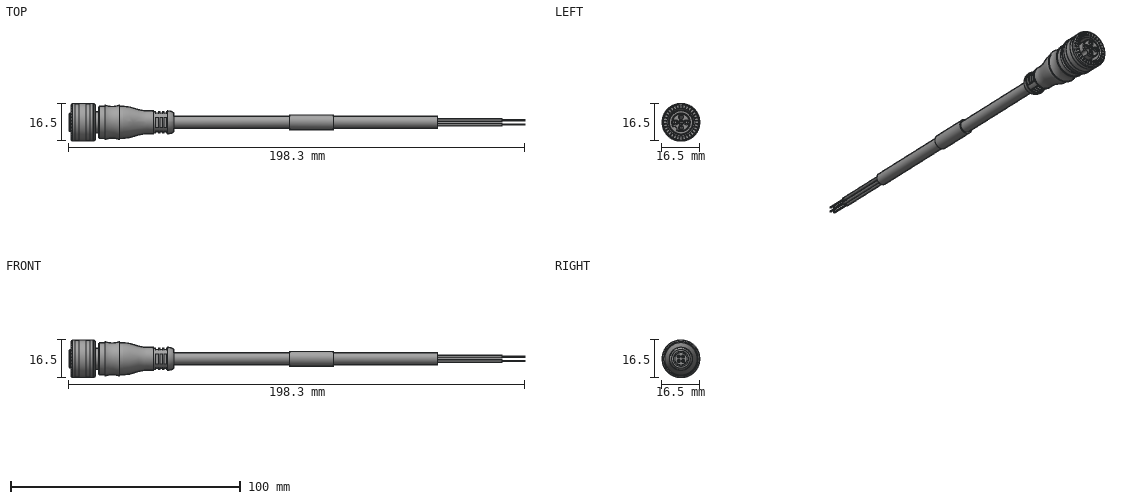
import cadquery as cq
import math

TOTAL_LENGTH = 198.3

NUT_DIAMETER = 16.5
NUT_FRONT = 0.8
NUT_BACK = 11.5
NUT_CHAMFER = 0.5
NUT_BORE_DIAMETER = 11.0
NUT_SHOULDER = 8.3
NUT_BAND_DIAMETER = 16.3
NUT_BAND_LENGTH = 1.8
NUT_BAND_STARTS = (2.5, 7.3)
NUT_RIM_LENGTH = 1.2
NOTCH_COUNT = 32
NOTCH_WIDTH = 0.3
NOTCH_DEPTH = 0.4

INSERT_DIAMETER = 8.1
INSERT_CHAMFER = 0.4
FLANGE_DIAMETER = 10.1
FLANGE_LENGTH = 2.0
NECK_DIAMETER = 9.3
CONTACT_DIAMETER = 1.1
CONTACT_DEPTH = 6.0
CONTACT_MOUTH_DIAMETER = 2.2
CONTACT_MOUTH_DEPTH = 0.5
CONTACT_CIRCLE_RADIUS = 2.4
OUTER_CONTACT_COUNT = 4
KEYWAY_DIAMETER = 2.2

GRIP_DIAMETER = 14.0
GRIP_FRONT = 12.7
GRIP_CHAMFER = 0.5
WAIST_START = 15.7
WAIST_END = 21.8
WAIST_EDGE_DIAMETER = 15.0
WAIST_DIAMETER = 13.9
TAPER_START = 23.5
TAPER_END = 33.7
COLLAR_DIAMETER = 10.1
COLLAR_END = 36.7
GRIP_BACK = 45.6

RELIEF_DIAMETER = 9.3
WINDOW_START = 37.7
WINDOW_LENGTH = 1.2
WINDOW_PITCH = 1.8
WINDOW_WIDTH = 4.4
WINDOW_DEPTH = 1.0
WINDOW_ROWS = 3
WINDOWS_PER_ROW = 4
CAP_START = 42.8
CAP_END_DIAMETER = 8.1

CABLE_DIAMETER = 5.4
JACKET_END = 160.5
SLEEVE_DIAMETER = 6.5
SLEEVE_START = 96.0
SLEEVE_LENGTH = 19.0
WIRE_COUNT = 4
WIRE_OFFSET = 0.95
WIRE_DIAMETER = 1.3
WIRE_END = 188.4
CONDUCTOR_DIAMETER = 0.63


def rod(diameter, start, end, place=(0, 0)):
    """Round bar along X from start to end, with its axis at the (y, z) place."""
    y, z = place
    return cq.Workplane("YZ", origin=(start, y, z)).circle(diameter / 2).extrude(end - start)


def places_on_circle(radius, count, first_angle):
    """Evenly spaced (y, z) places on a circle about the X axis."""
    angles = [math.radians(first_angle + i * 360 / count) for i in range(count)]
    return [(radius * math.cos(angle), radius * math.sin(angle)) for angle in angles]


def cut_around(body, cutter, count):
    """Cut count evenly spaced copies of a cutter around the X axis."""
    for i in range(count):
        body = body.cut(cutter.rotate((0, 0, 0), (1, 0, 0), i * 360 / count))
    return body


def block_above_axis(start, length, width, bottom, height):
    """Block on the +Z side of the X axis, centred on Y = 0."""
    base = cq.Workplane("XY", origin=(start, 0, bottom))
    return base.box(length, width, height, centered=(False, True, False))


def nut_body():
    """Turned ring with a smaller rear rim and two shallow outer bands, bored through in two diameters."""
    rim_start = NUT_BACK - NUT_RIM_LENGTH
    nut = rod(NUT_DIAMETER, NUT_FRONT, rim_start).union(rod(NUT_BAND_DIAMETER, rim_start, NUT_BACK))
    nut = nut.cut(rod(NUT_BORE_DIAMETER, NUT_FRONT, NUT_SHOULDER))
    nut = nut.faces("<X").chamfer(NUT_CHAMFER)
    nut = nut.faces(">X").chamfer(NUT_CHAMFER)
    for start in NUT_BAND_STARTS:
        end = start + NUT_BAND_LENGTH
        band = rod(NUT_DIAMETER, start, end).cut(rod(NUT_BAND_DIAMETER, start, end))
        nut = nut.cut(band)
    return nut.cut(rod(NECK_DIAMETER, NUT_SHOULDER, NUT_BACK))


def make_nut():
    """Nut with narrow radial notches across the flat of its front face."""
    inner_radius = NUT_BORE_DIAMETER / 2 + NUT_CHAMFER
    outer_radius = NUT_DIAMETER / 2 - NUT_CHAMFER
    notch = block_above_axis(
        NUT_FRONT, NOTCH_DEPTH, NOTCH_WIDTH, inner_radius, outer_radius - inner_radius
    )
    half_step = 180 / NOTCH_COUNT
    first_notch = notch.rotate((0, 0, 0), (1, 0, 0), half_step)
    return cut_around(nut_body(), first_notch, NOTCH_COUNT)


def grip_body():
    """Insert, neck, grip, taper, strain relief and end cap as one turned shape."""
    flange_front = NUT_SHOULDER - FLANGE_LENGTH
    insert_radius = INSERT_DIAMETER / 2
    flange_radius = FLANGE_DIAMETER / 2
    neck_radius = NECK_DIAMETER / 2
    grip_radius = GRIP_DIAMETER / 2
    waist_edge_radius = WAIST_EDGE_DIAMETER / 2
    waist_middle = (WAIST_START + WAIST_END) / 2
    collar_radius = COLLAR_DIAMETER / 2
    relief_radius = RELIEF_DIAMETER / 2
    outline = (
        cq.Workplane("XZ")
        .moveTo(0, 0)
        .lineTo(0, insert_radius - INSERT_CHAMFER)
        .lineTo(INSERT_CHAMFER, insert_radius)
        .lineTo(flange_front, insert_radius)
        .lineTo(flange_front, flange_radius)
        .lineTo(NUT_SHOULDER, flange_radius)
        .lineTo(NUT_SHOULDER, neck_radius)
        .lineTo(GRIP_FRONT, neck_radius)
        .lineTo(GRIP_FRONT, grip_radius - GRIP_CHAMFER)
        .lineTo(GRIP_FRONT + GRIP_CHAMFER, grip_radius)
        .lineTo(WAIST_START, grip_radius)
        .lineTo(WAIST_START, waist_edge_radius)
        .threePointArc((waist_middle, WAIST_DIAMETER / 2), (WAIST_END, waist_edge_radius))
        .lineTo(WAIST_END, grip_radius)
        .lineTo(TAPER_START, grip_radius)
        .spline([(TAPER_END, collar_radius)], tangents=[(1, 0), (1, 0)], includeCurrent=True)
        .lineTo(COLLAR_END, collar_radius)
        .lineTo(COLLAR_END, relief_radius)
        .lineTo(CAP_START, relief_radius)
        .lineTo(CAP_START, collar_radius)
        .spline([(GRIP_BACK, CAP_END_DIAMETER / 2)], tangents=[(1, 0), (1, -1)], includeCurrent=True)
        .lineTo(GRIP_BACK, 0)
        .close()
    )
    return outline.revolve(360, (0, 0, 0), (1, 0, 0))


def cut_contacts(grip):
    places = [(0, 0)] + places_on_circle(CONTACT_CIRCLE_RADIUS, OUTER_CONTACT_COUNT, 0)
    for place in places:
        grip = grip.cut(rod(CONTACT_MOUTH_DIAMETER, 0, CONTACT_MOUTH_DEPTH, place))
        grip = grip.cut(rod(CONTACT_DIAMETER, 0, CONTACT_DEPTH, place))
    return grip


def cut_keyway(grip):
    """Round keyway in the rim of the insert, on the +Y, -Z diagonal."""
    keyway_place = places_on_circle(INSERT_DIAMETER / 2, 1, -45)[0]
    return grip.cut(rod(KEYWAY_DIAMETER, 0, NUT_SHOULDER - FLANGE_LENGTH, keyway_place))


def cut_windows(grip):
    bottom = RELIEF_DIAMETER / 2 - WINDOW_DEPTH
    for row in range(WINDOW_ROWS):
        start = WINDOW_START + row * WINDOW_PITCH
        window = block_above_axis(start, WINDOW_LENGTH, WINDOW_WIDTH, bottom, 2 * WINDOW_DEPTH)
        grip = cut_around(grip, window, WINDOWS_PER_ROW)
    return grip


def make_grip():
    return cut_windows(cut_keyway(cut_contacts(grip_body())))


def make_cable():
    cable = rod(CABLE_DIAMETER, GRIP_BACK, JACKET_END)
    cable = cable.union(rod(SLEEVE_DIAMETER, SLEEVE_START, SLEEVE_START + SLEEVE_LENGTH))
    for place in places_on_circle(WIRE_OFFSET * math.sqrt(2), WIRE_COUNT, 45):
        cable = cable.union(rod(WIRE_DIAMETER, JACKET_END, WIRE_END, place))
        cable = cable.union(rod(CONDUCTOR_DIAMETER, WIRE_END, TOTAL_LENGTH, place))
    return cable


nut = make_nut()
grip = make_grip()
cable = make_cable()
result = cq.Compound.makeCompound([nut.val(), grip.val(), cable.val()])